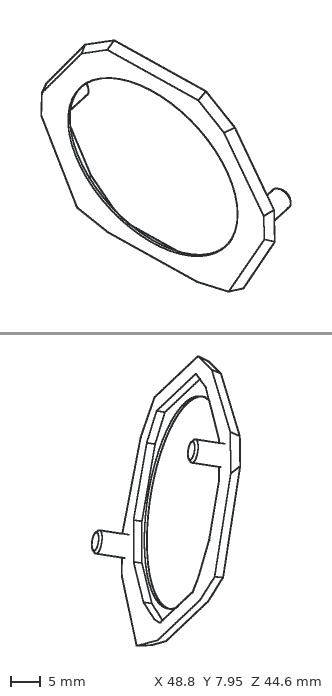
import cadquery as cq

plate_thickness = 2.0
bore_radius = 18.0
lip_thickness = 0.5

front_top, front_bottom = 21.92, -21.45
back_top, back_bottom = 22.55, -22.0

pin_radius = 2.0
pin_length = 5.95
pin_offset = 21.5
pin_tip_chamfer = 0.45
pin_root_fillet = 0.3

front_right = [
    (9.65, front_top),
    (15.15, 17.65),
    (23.6, 3.05),
    (23.75, -2.45),
    (16.1, -19.65),
    (9.45, front_bottom),
]

recess_side = 19.1
recess_top, recess_bottom = 19.75, -19.25
recess_right = [
    (8.8, recess_top),
    (13.2, 15.65),
    (recess_side, 3.9),
    (recess_side, -3.65),
    (14.65, -12.7),
    (9.75, -17.7),
    (7.32, recess_bottom),
]

back_upper_right = [(9.75, back_top), (15.9, 17.73), (24.2, 3.25)]
back_lower_right = [(24.4, -4.15), (17.73, -19.45), (8.3, back_bottom)]
back_lower_left = [(-10.65, back_bottom), (-17.2, -20.3), (-24.4, -4.35)]


def mirrored(corners):
    """Mirror corners across X = 0, reversed so that the outline continues in order."""
    return [(-x, z) for x, z in reversed(corners)]


def make_plate():
    """Plate whose flat sides lean outward from the front face to the back face."""
    front = front_right + mirrored(front_right)
    back = back_upper_right + back_lower_right + back_lower_left + mirrored(back_upper_right)
    return (
        cq.Workplane("XZ")
        .polyline(front).close()
        .workplane(offset=-plate_thickness)
        .polyline(back).close()
        .loft(ruled=True)
    )


def make_bore():
    return cq.Workplane("XZ").circle(bore_radius).extrude(-plate_thickness)


def make_recess():
    """Polygonal pocket behind the thin lip around the bore, open at the back face."""
    return (
        cq.Workplane("XZ", origin=(0, lip_thickness, 0))
        .polyline(recess_right + mirrored(recess_right)).close()
        .extrude(lip_thickness - plate_thickness)
    )


def make_pin(x):
    """Pin revolved about its axis, with a chamfered tip and a concave fillet at the root."""
    root_radius = pin_radius + pin_root_fillet
    tip_radius = pin_radius - pin_tip_chamfer
    root_tangent = (pin_radius, pin_root_fillet)
    fillet_midpoint = (
        root_radius - pin_root_fillet * 0.5 ** 0.5,
        pin_root_fillet * (1 - 0.5 ** 0.5),
    )
    pin = (
        cq.Workplane("XY")
        .lineTo(root_radius, 0)
        .threePointArc(fillet_midpoint, root_tangent)
        .lineTo(pin_radius, pin_length - pin_tip_chamfer)
        .lineTo(tip_radius, pin_length)
        .lineTo(0, pin_length)
        .close()
        .revolve(360, (0, 0, 0), (0, 1, 0))
    )
    return pin.translate((x, plate_thickness, 0))


result = make_plate().cut(make_bore()).cut(make_recess())
for side in (-1, 1):
    result = result.union(make_pin(side * pin_offset))